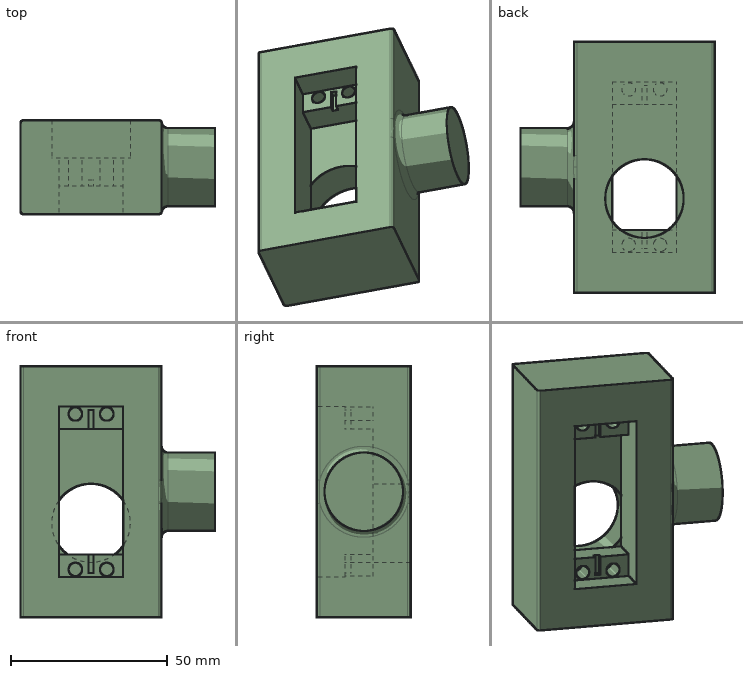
import cadquery as cq

body_x = 45.0
body_y = 30.0
body_z = 80.0
edge_radius = 1.0

boss_diameter = 25.0
boss_end_x = 62.0
boss_blend_radius = 2.0
boss_center_y = body_y / 2
boss_center_z = body_z / 2

pocket_width = 20.4
pocket_height = 54.3
pocket_depth = 18.0
pocket_center_x = body_x / 2
pocket_center_z = body_z / 2

opening_diameter = 25.0
opening_center_z = 30.0

tab_height = 7.2
tab_front_y = 9.0
tab_thickness = pocket_depth - tab_front_y

screw_diameter = 4.3
screw_spacing = 10.0
screw_end_distance = 2.4

slot_width = 1.7
slot_length = 6.0
slot_depth = 2.0


def block(width, depth, height, center_x, front_y, center_z):
    """Box centred on X and Z that extends from front_y toward +Y."""
    return (
        cq.Workplane("XY")
        .box(width, depth, height, centered=(True, False, True))
        .translate((center_x, front_y, center_z))
    )


def bore(diameter, depth, center_x, front_y, center_z):
    """Cylinder along Y that extends from front_y toward +Y."""
    start = cq.Vector(center_x, front_y, center_z)
    return cq.Workplane(cq.Solid.makeCylinder(diameter / 2, depth, start, cq.Vector(0, 1, 0)))


def make_housing():
    """Body and boss, with the boss foot blended in before the upright edges are rounded."""
    body = cq.Workplane("XY").box(body_x, body_y, body_z, centered=False)
    boss = (
        cq.Workplane("YZ")
        .center(boss_center_y, boss_center_z)
        .circle(boss_diameter / 2)
        .extrude(boss_end_x)
    )
    boss_foot = cq.selectors.NearestToPointSelector((body_x, boss_center_y, boss_center_z))
    housing = body.union(boss).edges("%CIRCLE").edges(boss_foot).fillet(boss_blend_radius)
    return housing.edges("|Z").fillet(edge_radius)


def make_tab(inward):
    """Tab at one end of the pocket; inward is the Z sign pointing to the pocket middle."""
    end_z = pocket_center_z - inward * pocket_height / 2
    tab = block(
        pocket_width, tab_thickness, tab_height,
        pocket_center_x, tab_front_y, end_z + inward * tab_height / 2,
    )
    slot_center_z = end_z + inward * (tab_height - slot_length / 2)
    tab = tab.cut(block(slot_width, slot_depth, slot_length, pocket_center_x, tab_front_y, slot_center_z))
    for side in (-1, 1):
        screw_x = pocket_center_x + side * screw_spacing / 2
        screw_z = end_z + inward * screw_end_distance
        tab = tab.cut(bore(screw_diameter, tab_thickness, screw_x, tab_front_y, screw_z))
    return tab


pocket = block(pocket_width, pocket_depth, pocket_height, pocket_center_x, 0, pocket_center_z)
opening = bore(
    opening_diameter, body_y - pocket_depth,
    pocket_center_x, pocket_depth, opening_center_z,
)

result = make_housing().cut(pocket).cut(opening)
for inward in (-1, 1):
    result = result.union(make_tab(inward))